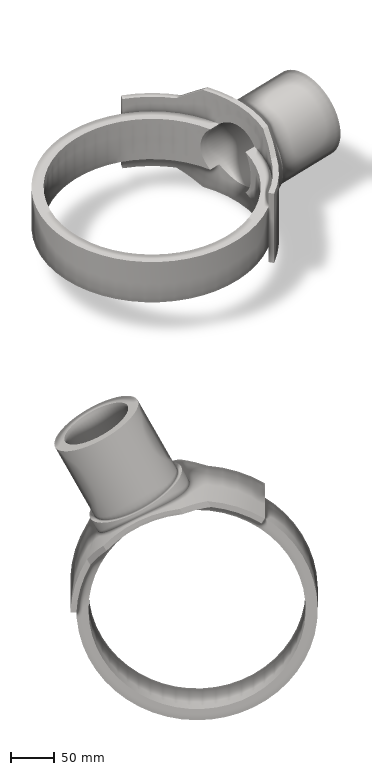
import cadquery as cq
import math

ring_radius = 140.0
ring_wall = 14.0
ring_height = 60.0

saddle_wall = 7.0
saddle_half_angle = 60.0
saddle_height = 144.0
wing_height = 103.0
crown_half_width = 50.0
shoulder_half_width = 79.0

pipe_radius = 55.0
bore_radius = 42.0
collar_radius = 60.5
collar_end = 153.0
pipe_end = 391.0 - ring_radius

saddle_radius = ring_radius + saddle_wall


def cylinder_along_y(radius, end):
    """Solid cylinder from the ring axis to the given Y position."""
    return cq.Workplane("XZ").circle(radius).extrude(-end)


def make_ring():
    outline = cq.Workplane("XY").circle(ring_radius).circle(ring_radius - ring_wall)
    return outline.extrude(ring_height / 2, both=True)


def make_saddle():
    """Curved plate with radial ends, trimmed to a tall crown and two lower wings."""
    angle = math.radians(saddle_half_angle)

    def end_point(radius, side):
        return (side * radius * math.sin(angle), radius * math.cos(angle))

    arc_plate = (
        cq.Workplane("XY")
        .moveTo(*end_point(saddle_radius, -1))
        .threePointArc((0, saddle_radius), end_point(saddle_radius, 1))
        .lineTo(*end_point(ring_radius, 1))
        .threePointArc((0, ring_radius), end_point(ring_radius, -1))
        .close()
        .extrude(saddle_height / 2, both=True)
    )
    upper_edge = [
        (-saddle_radius, wing_height / 2),
        (-shoulder_half_width, wing_height / 2),
        (-crown_half_width, saddle_height / 2),
        (crown_half_width, saddle_height / 2),
        (shoulder_half_width, wing_height / 2),
        (saddle_radius, wing_height / 2),
    ]
    lower_edge = [(x, -z) for x, z in reversed(upper_edge)]
    face_outline = cq.Workplane("XZ").polyline(upper_edge + lower_edge).close()
    return arc_plate.intersect(face_outline.extrude(-saddle_radius))


def make_branch():
    """Pipe and collar, ending on the outer surface of the ring."""
    pipe = cylinder_along_y(pipe_radius, pipe_end)
    collar = cylinder_along_y(collar_radius, collar_end)
    ring_space = cq.Workplane("XY").circle(ring_radius).extrude(saddle_height / 2, both=True)
    return pipe.union(collar).cut(ring_space)


bore = cylinder_along_y(bore_radius, pipe_end)
result = make_ring().union(make_saddle()).union(make_branch()).cut(bore)